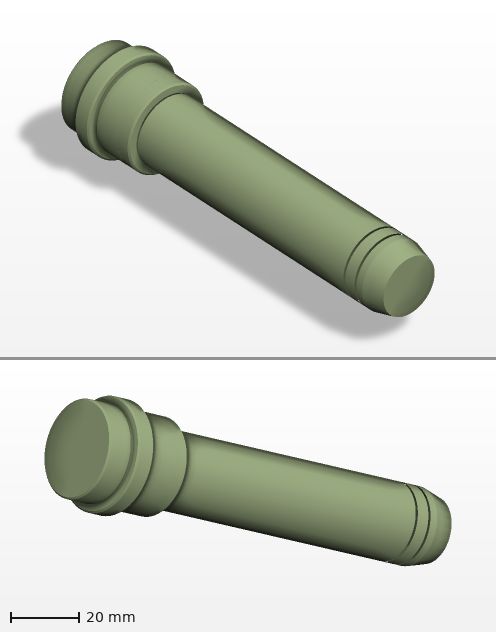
import cadquery as cq
import math


length = 136.0
head_diameter = 30.0
collar_diameter = 35.0
shank_diameter = 24.0

head_length = 30.0
collar_start = 9.0
collar_width = 6.0
edge_chamfer = 0.5
relief_width = 1.1

lead_in_length = 4.9
lead_in_reduction = 0.03

groove_start = 120.5
groove_pitch = 4.9
groove_count = 2
groove_width = 0.8
root_relief_width = 0.5
tip_length = 7.2
tip_angle = 15.0


def cylinder(start, width, diameter):
    """Solid cylinder along X that begins at the given X position."""
    return cq.Workplane("YZ", origin=(start, 0, 0)).circle(diameter / 2).extrude(width)


def round_groove(start, width, diameter):
    """Torus that cuts a half-round groove into a cylinder of the given diameter."""
    return (
        cq.Workplane("XY")
        .center(start + width / 2, diameter / 2)
        .circle(width / 2)
        .revolve(360, (-1.4, -diameter / 2, 0), (1.4, -diameter / 2, 0))
    )


lead_in_start = head_length - lead_in_length
head = cylinder(0, lead_in_start, head_diameter).faces("<X").chamfer(edge_chamfer)
lead_in = cylinder(lead_in_start, lead_in_length, head_diameter - 2 * lead_in_reduction)
head = head.union(lead_in.faces(">X").chamfer(edge_chamfer))

collar_end = collar_start + collar_width
for relief_start in (collar_start - relief_width, collar_end):
    head = head.cut(round_groove(relief_start, relief_width, head_diameter))

collar = cylinder(collar_start, collar_width, collar_diameter).edges().chamfer(edge_chamfer)

tip_start = length - tip_length
tip_radius = shank_diameter / 2 - tip_length * math.tan(math.radians(tip_angle))
shank = (
    cq.Workplane("XY")
    .moveTo(collar_end, 0)
    .lineTo(collar_end, shank_diameter / 2)
    .lineTo(tip_start, shank_diameter / 2)
    .lineTo(length, tip_radius)
    .lineTo(length, 0)
    .close()
    .revolve(360, (0, 0, 0), (1, 0, 0))
)

for index in range(groove_count):
    start = groove_start + index * groove_pitch
    shank = shank.cut(round_groove(start, groove_width, shank_diameter))

shank = shank.cut(round_groove(head_length, root_relief_width, shank_diameter))

result = head.union(collar).union(shank)